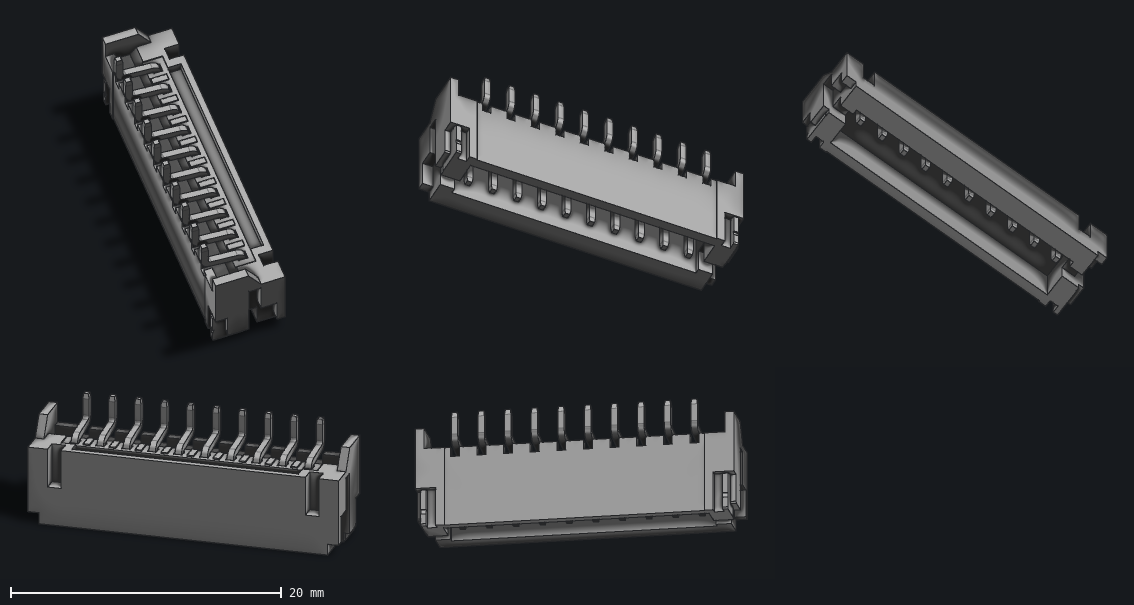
import cadquery as cq
import math


LENGTH = 23.95
DEPTH = 5.5
HEIGHT = 6.0
HALF = LENGTH / 2
FRONT_RELIEF = 0.07
FRONT_RELIEF_INSET = 2.2

EAR_THICKNESS = 0.68
EAR_TOP = 7.55
EAR_FLAT_DEPTH = 2.6
EAR_DEPTH = 3.6

PIN_COUNT = 10
PIN_PITCH = 2.0
PIN_WIDTH = 0.5
PIN_THICKNESS = 0.55
PIN_FRONT = -0.1
PIN_BACK = 3.47
PIN_TOP = 8.65
PIN_BOTTOM = 0.65
PIN_FRONT_BEND_Z = 6.95
PIN_LEG_TILT = 6.0
PIN_INNER_RADIUS = 0.25
PIN_OUTER_RADIUS = PIN_INNER_RADIUS + PIN_THICKNESS
PIN_TIP_LENGTH = 0.4
PIN_TIP_CHAMFER = 0.06

CAVITY_INSET = 2.0
CAVITY_FRONT = 0.8
CAVITY_BACK = 4.0
CAVITY_HEIGHT = 4.2

TROUGH_FLOOR = 5.3
TROUGH_FRONT = 0.73
TROUGH_BACK = 1.93
TROUGH_RAMP_END = 2.43
SHELF_INSET = 2.11
SHELF_FLOOR = 5.9
SHELF_BACK = 3.97
GROOVE_INSET = 3.25
GROOVE_BACK = 5.0
GROOVE_FLOOR = TROUGH_FLOOR
PIN_SLOT_WIDTH = 0.67
PIN_WELL_FRONT = 2.85
PIN_WELL_BACK = 3.54
PIN_WELL_FLOOR = 5.6
SEPARATOR_WIDTH = 0.5
SEPARATOR_BACK = 3.69

BACK_NOTCH_INSET = 1.53
BACK_NOTCH_WIDTH = 1.03
BACK_NOTCH_FRONT = 4.35
BACK_NOTCH_FLOOR = 3.0

END_RECESS = 0.85
WINDOW_FRONT = 2.63
WINDOW_BACK = 3.58
WINDOW_TOP = 5.5
LOWER_TOP = 2.93
LOWER_BACK = 4.85
FOOT_TOP = 0.87
END_SLOT_TOP = 1.9
FRONT_FOOT_TOP = 0.72
FRONT_FOOT_CHAMFER = 0.07

TAB_INSET = 0.44
TAB_PROUD = 0.03
TAB_THICKNESS = 0.4
TAB_FRONT = -0.07
TAB_BACK = 2.28
TAB_TOP = 2.9
TAB_BEVEL_DEPTH = 0.35
TAB_BEVEL_HEIGHT = 0.15
TAB_TOE_DEPTH = 0.05
TAB_TOE_HEIGHT = 0.15
TAB_NICK_BOTTOM = 0.9
TAB_NICK_TOP = 1.25
TAB_NICK_DEPTH = 0.12
CORNER_SLOT_WIDTH = 1.55
CORNER_SLOT_BACK = 0.55
CORNER_STEP_BACK = 0.95


def box(x0, x1, y0, y1, z0, z1):
    """Box given by its limits along each axis."""
    return cq.Workplane("XY").box(x1 - x0, y1 - y0, z1 - z0, centered=False).translate((x0, y0, z0))


def profile(points, x0, x1):
    """Closed (y, z) outline extruded from x0 to x1."""
    return cq.Workplane("YZ").polyline(points).close().extrude(x1 - x0).translate((x0, 0, 0))


def both_ends(left):
    """Left-end shape together with its mirror image at the right end."""
    return left.union(left.mirror("YZ"))


def housing_block():
    body = box(-HALF, HALF, 0, DEPTH, 0, HEIGHT)
    ear_outline = [
        (0, HEIGHT),
        (0, EAR_TOP),
        (EAR_FLAT_DEPTH, EAR_TOP),
        (EAR_DEPTH, HEIGHT),
    ]
    ears = both_ends(profile(ear_outline, -HALF, -HALF + EAR_THICKNESS))
    relief_x = HALF - FRONT_RELIEF_INSET
    relief = box(-relief_x, relief_x, 0, FRONT_RELIEF, 0, HEIGHT)
    return body.union(ears).cut(relief)


def cavity():
    cavity_x = HALF - CAVITY_INSET
    room = box(-cavity_x, cavity_x, CAVITY_FRONT, CAVITY_BACK, 0, CAVITY_HEIGHT)
    end_slots = box(-HALF, HALF, WINDOW_FRONT, WINDOW_BACK, 0, END_SLOT_TOP)
    return room.union(end_slots)


def top_recesses():
    trough_x = HALF - EAR_THICKNESS
    trough_outline = [
        (TROUGH_FRONT, HEIGHT),
        (TROUGH_FRONT, TROUGH_FLOOR),
        (TROUGH_BACK, TROUGH_FLOOR),
        (TROUGH_RAMP_END, HEIGHT),
    ]
    trough = profile(trough_outline, -trough_x, trough_x)
    shelf_x = HALF - SHELF_INSET
    shelf = box(-shelf_x, shelf_x, TROUGH_BACK, SHELF_BACK, SHELF_FLOOR, HEIGHT)
    for x in pin_positions()[:-1]:
        middle = x + PIN_PITCH / 2
        shelf = shelf.cut(
            box(
                middle - SEPARATOR_WIDTH / 2,
                middle + SEPARATOR_WIDTH / 2,
                TROUGH_RAMP_END,
                SEPARATOR_BACK,
                SHELF_FLOOR,
                HEIGHT,
            )
        )
    groove_x = HALF - GROOVE_INSET
    groove = box(-groove_x, groove_x, SHELF_BACK, GROOVE_BACK, GROOVE_FLOOR, HEIGHT)
    return trough.union(shelf).union(groove)


def pin_clearance(x):
    """Slot through the front wall and the well around the pin's back bend."""
    x0 = x - PIN_SLOT_WIDTH / 2
    x1 = x + PIN_SLOT_WIDTH / 2
    slot = box(x0, x1, 0, TROUGH_FRONT, TROUGH_FLOOR, HEIGHT)
    well = box(x0, x1, PIN_WELL_FRONT, PIN_WELL_BACK, PIN_WELL_FLOOR, HEIGHT)
    return slot.union(well)


def back_notches():
    x0 = -HALF + BACK_NOTCH_INSET
    return both_ends(box(x0, x0 + BACK_NOTCH_WIDTH, BACK_NOTCH_FRONT, DEPTH, BACK_NOTCH_FLOOR, HEIGHT))


def end_recesses():
    stepped_outline = [
        (WINDOW_FRONT, 0),
        (WINDOW_FRONT, WINDOW_TOP),
        (WINDOW_BACK, WINDOW_TOP),
        (WINDOW_BACK, LOWER_TOP),
        (LOWER_BACK, LOWER_TOP),
        (LOWER_BACK, FOOT_TOP),
        (DEPTH, FOOT_TOP),
        (DEPTH, 0),
    ]
    stepped = profile(stepped_outline, -HALF, -HALF + END_RECESS)
    foot_outline = [
        (0, 0),
        (0, FOOT_TOP),
        (CORNER_STEP_BACK, FOOT_TOP),
        (CORNER_STEP_BACK + FRONT_FOOT_CHAMFER, FRONT_FOOT_TOP),
        (WINDOW_FRONT, FRONT_FOOT_TOP),
        (WINDOW_FRONT, 0),
    ]
    foot = profile(foot_outline, -HALF, -HALF + TAB_INSET + TAB_PROUD)
    corner = box(-HALF, -HALF + CORNER_SLOT_WIDTH, 0, CORNER_SLOT_BACK, 0, LOWER_TOP)
    step = box(-HALF, -HALF + TAB_INSET, 0, CORNER_STEP_BACK, 0, LOWER_TOP)
    return both_ends(stepped.union(foot).union(corner).union(step))


def solder_tabs():
    nick_y = TAB_FRONT + TAB_NICK_DEPTH
    outline = [
        (TAB_BACK, 0),
        (TAB_FRONT + TAB_TOE_DEPTH, 0),
        (TAB_FRONT, TAB_TOE_HEIGHT),
        (TAB_FRONT, TAB_NICK_BOTTOM),
        (nick_y, TAB_NICK_TOP),
        (TAB_FRONT, TAB_NICK_TOP),
        (TAB_FRONT, TAB_TOP - TAB_BEVEL_HEIGHT),
        (TAB_FRONT + TAB_BEVEL_DEPTH, TAB_TOP),
        (TAB_BACK, TAB_TOP),
    ]
    x0 = -HALF + TAB_INSET
    return both_ends(profile(outline, x0, x0 + TAB_THICKNESS))


def pin_positions():
    first = -(PIN_COUNT - 1) * PIN_PITCH / 2
    return [first + i * PIN_PITCH for i in range(PIN_COUNT)]


def pin_tip(y, z_base, z_end):
    """Tapered tip running from z_base to z_end, centred on x = 0 and on y."""
    return (
        cq.Workplane("XY", origin=(0, y, z_base))
        .rect(PIN_WIDTH, PIN_THICKNESS)
        .workplane(offset=z_end - z_base)
        .rect(PIN_WIDTH - 2 * PIN_TIP_CHAMFER, PIN_THICKNESS - 2 * PIN_TIP_CHAMFER)
        .loft(ruled=True)
    )


def on_circle(center, radius, angle):
    """Point (y, z) on a circle, with the angle in degrees from +Y towards +Z."""
    turn = math.radians(angle)
    return (center[0] + radius * math.cos(turn), center[1] + radius * math.sin(turn))


def pin():
    """Z-shaped pin centred on x = 0: mating blade, tilted leg and solder tail."""
    tilt = math.radians(PIN_LEG_TILT)
    front_y = PIN_FRONT + PIN_OUTER_RADIUS
    back_y = PIN_BACK - PIN_OUTER_RADIUS
    bend_drop = PIN_INNER_RADIUS + PIN_OUTER_RADIUS + math.sin(tilt) * (back_y - front_y)
    front_bend = (front_y, PIN_FRONT_BEND_Z)
    back_bend = (back_y, PIN_FRONT_BEND_Z - bend_drop / math.cos(tilt))
    sweep = 90 - PIN_LEG_TILT

    tail_end = PIN_TOP - PIN_TIP_LENGTH
    blade_end = PIN_BOTTOM + PIN_TIP_LENGTH
    shank = (
        cq.Workplane("YZ")
        .moveTo(PIN_FRONT, tail_end)
        .lineTo(*on_circle(front_bend, PIN_OUTER_RADIUS, 180))
        .threePointArc(
            on_circle(front_bend, PIN_OUTER_RADIUS, 180 + sweep / 2),
            on_circle(front_bend, PIN_OUTER_RADIUS, 180 + sweep),
        )
        .lineTo(*on_circle(back_bend, PIN_INNER_RADIUS, sweep))
        .threePointArc(
            on_circle(back_bend, PIN_INNER_RADIUS, sweep / 2),
            on_circle(back_bend, PIN_INNER_RADIUS, 0),
        )
        .lineTo(PIN_BACK - PIN_THICKNESS, blade_end)
        .lineTo(PIN_BACK, blade_end)
        .lineTo(*on_circle(back_bend, PIN_OUTER_RADIUS, 0))
        .threePointArc(
            on_circle(back_bend, PIN_OUTER_RADIUS, sweep / 2),
            on_circle(back_bend, PIN_OUTER_RADIUS, sweep),
        )
        .lineTo(*on_circle(front_bend, PIN_INNER_RADIUS, 180 + sweep))
        .threePointArc(
            on_circle(front_bend, PIN_INNER_RADIUS, 180 + sweep / 2),
            on_circle(front_bend, PIN_INNER_RADIUS, 180),
        )
        .lineTo(PIN_FRONT + PIN_THICKNESS, tail_end)
        .close()
        .extrude(PIN_WIDTH / 2, both=True)
    )
    tail_tip = pin_tip(PIN_FRONT + PIN_THICKNESS / 2, tail_end, PIN_TOP)
    blade_tip = pin_tip(PIN_BACK - PIN_THICKNESS / 2, blade_end, PIN_BOTTOM)
    return shank.union(tail_tip).union(blade_tip)


housing = housing_block()
housing = housing.cut(cavity())
housing = housing.cut(top_recesses())
housing = housing.cut(back_notches())
housing = housing.cut(end_recesses())
for pin_x in pin_positions():
    housing = housing.cut(pin_clearance(pin_x))

result = housing.union(solder_tabs())
for pin_x in pin_positions():
    result = result.union(pin().translate((pin_x, 0, 0)))